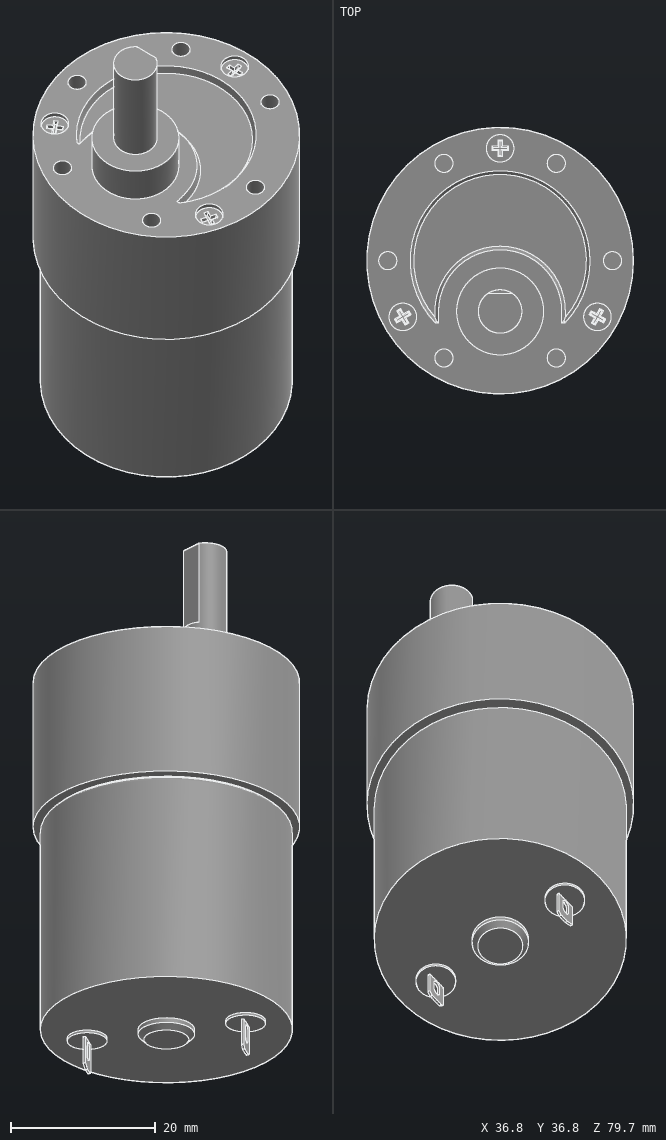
import cadquery as cq
import math

gearbox_diameter = 36.8
gearbox_length = 22.0

motor_diameter = 34.8
motor_length = 30.8
motor_front_radius = 0.7
neck_diameter = motor_diameter - 2 * motor_front_radius
neck_length = 0.2
motor_back_z = -(gearbox_length + motor_length)

shaft_offset_y = -7.0
boss_diameter = 12.0
boss_height = 6.0
shaft_diameter = 6.0
shaft_length = 16.0
flat_length = 12.0
flat_distance = 2.5

bolt_circle_radius = 15.5
mounting_hole_count = 6
mounting_hole_diameter = 2.5
mounting_hole_depth = 4.0
screw_count = 3
screw_recess_diameter = 3.8
screw_recess_depth = 0.8
cross_length = 2.3
cross_width = 0.6
cross_depth = 0.6
cross_taper = 15.0

pocket_outer_radius = 12.4
pocket_inner_radius = 8.5
pocket_tip_y = -8.6
pocket_depth = 1.0
pocket_wall_inset = 0.5

cap_diameter = 7.8
cap_height = 1.5
cap_chamfer = 0.8

terminal_radius = 11.3
terminal_angle = 35.0
terminal_pad_diameter = 5.5
terminal_pad_thickness = 0.4
terminal_width = 3.1
terminal_thickness = 0.35
terminal_length = 4.75
positive_terminal_length = 4.9
terminal_corner = 0.5
positive_terminal_wide_corner = 1.2
terminal_slot_start = 0.7
terminal_slot_length = 2.6
terminal_slot_width = 1.2


def cylinder(diameter, height, z=0.0, y=0.0):
    """Upright cylinder whose lower face is at height z."""
    return cq.Workplane("XY", origin=(0, y, z)).circle(diameter / 2).extrude(height)


def make_housing():
    gearbox = cylinder(gearbox_diameter, gearbox_length, -gearbox_length)
    motor = cylinder(motor_diameter, motor_length - neck_length, motor_back_z)
    motor = motor.faces(">Z").edges().fillet(motor_front_radius)
    neck = cylinder(neck_diameter, neck_length, -gearbox_length - neck_length)
    cap = cylinder(cap_diameter, cap_height, motor_back_z - cap_height)
    cap = cap.faces("<Z").edges().chamfer(cap_chamfer)
    return gearbox.union(neck).union(motor).union(cap)


def make_output_shaft():
    boss = cylinder(boss_diameter, boss_height, y=shaft_offset_y)
    shaft = cylinder(shaft_diameter, shaft_length, boss_height, shaft_offset_y)
    flat_start_z = boss_height + shaft_length - flat_length
    flat_cutter = (
        cq.Workplane("XY", origin=(0, shaft_offset_y + flat_distance, flat_start_z))
        .rect(shaft_diameter, shaft_diameter)
        .extrude(flat_length)
        .translate((0, shaft_diameter / 2, 0))
    )
    return boss.union(shaft.cut(flat_cutter))


def make_crescent_pocket():
    """Crescent around the boss, with walls that slope inward toward its floor."""
    outer_tip_x = math.sqrt(pocket_outer_radius**2 - pocket_tip_y**2)
    inner_tip_x = pocket_inner_radius
    wall_slope = math.degrees(math.atan(pocket_wall_inset / pocket_depth))
    return (
        cq.Workplane("XY")
        .moveTo(-outer_tip_x, pocket_tip_y)
        .threePointArc((0, pocket_outer_radius), (outer_tip_x, pocket_tip_y))
        .lineTo(inner_tip_x, pocket_tip_y)
        .lineTo(inner_tip_x, shaft_offset_y)
        .threePointArc((0, shaft_offset_y + pocket_inner_radius), (-inner_tip_x, shaft_offset_y))
        .lineTo(-inner_tip_x, pocket_tip_y)
        .close()
        .extrude(-pocket_depth, taper=wall_slope)
    )


def make_mounting_holes():
    return (
        cq.Workplane("XY")
        .polarArray(bolt_circle_radius, 0, 360, mounting_hole_count)
        .circle(mounting_hole_diameter / 2)
        .extrude(-mounting_hole_depth)
    )


def make_screw_recess(angle):
    """Round recess down to the screw head, with the cross drive cut into the head."""
    recess = cylinder(screw_recess_diameter, screw_recess_depth, -screw_recess_depth)
    head = cq.Workplane("XY", origin=(0, 0, -screw_recess_depth))
    radial_slot = head.rect(cross_length, cross_width).extrude(-cross_depth, taper=cross_taper)
    tangent_slot = head.rect(cross_width, cross_length).extrude(-cross_depth, taper=cross_taper)
    return (
        recess.union(radial_slot)
        .union(tangent_slot)
        .translate((bolt_circle_radius, 0, 0))
        .rotate((0, 0, 0), (0, 0, 1), angle)
    )


def make_terminal(angle, length, wide_corner):
    """Round pad with a slotted tab; one tip corner is cut back by wide_corner across the tab."""
    half_width = terminal_width / 2
    pad = cylinder(terminal_pad_diameter, terminal_pad_thickness, -terminal_pad_thickness)
    tab = (
        cq.Workplane("YZ")
        .moveTo(-half_width, 0)
        .lineTo(half_width, 0)
        .lineTo(half_width, terminal_corner - length)
        .lineTo(half_width - wide_corner, -length)
        .lineTo(terminal_corner - half_width, -length)
        .lineTo(-half_width, terminal_corner - length)
        .close()
        .extrude(terminal_thickness / 2, both=True)
    )
    slot = (
        cq.Workplane("YZ")
        .center(0, -terminal_slot_start - terminal_slot_length / 2)
        .slot2D(terminal_slot_length, terminal_slot_width, 90)
        .extrude(terminal_thickness, both=True)
    )
    return (
        pad.union(tab.cut(slot))
        .translate((terminal_radius, 0, motor_back_z))
        .rotate((0, 0, 0), (0, 0, 1), angle)
    )


result = make_housing().union(make_output_shaft())
result = result.cut(make_crescent_pocket()).cut(make_mounting_holes())
for screw in range(screw_count):
    result = result.cut(make_screw_recess(90 + screw * 360 / screw_count))
result = result.union(
    make_terminal(terminal_angle, positive_terminal_length, positive_terminal_wide_corner)
)
result = result.union(make_terminal(terminal_angle + 180, terminal_length, terminal_corner))